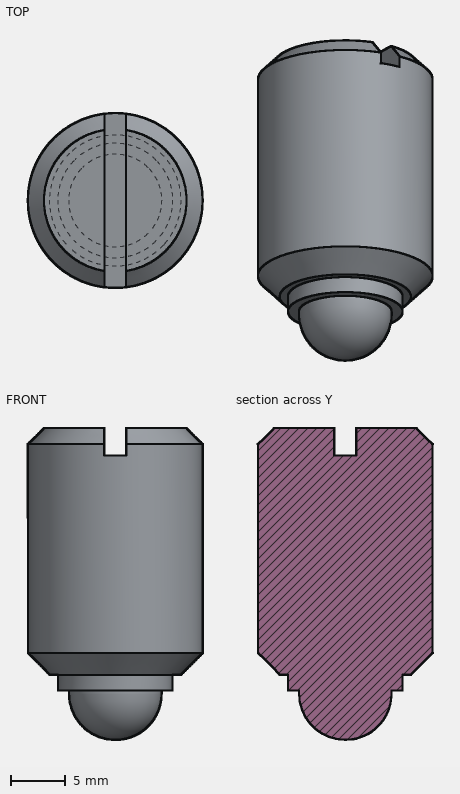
import cadquery as cq
import math

total_height = 28.5
body_diameter = 16.0
collar_diameter = 10.5
ball_diameter = 8.5

collar_bottom = 4.5
body_bottom = 5.95
top_chamfer = 1.48
bottom_chamfer = 2.0

slot_width = 2.0
slot_depth = 2.5

body_radius = body_diameter / 2
collar_radius = collar_diameter / 2
ball_radius = ball_diameter / 2


def turned_profile():
    """Half section of the plunger: ball tip, collar and chamfered body."""
    arc_mid = (ball_radius * math.sin(math.pi / 4), ball_radius * (1 - math.cos(math.pi / 4)))
    return (
        cq.Workplane("XZ")
        .moveTo(0, 0)
        .threePointArc(arc_mid, (ball_radius, ball_radius))
        .lineTo(ball_radius, collar_bottom)
        .lineTo(collar_radius, collar_bottom)
        .lineTo(collar_radius, body_bottom)
        .lineTo(body_radius - bottom_chamfer, body_bottom)
        .lineTo(body_radius, body_bottom + bottom_chamfer)
        .lineTo(body_radius, total_height - top_chamfer)
        .lineTo(body_radius - top_chamfer, total_height)
        .lineTo(0, total_height)
        .close()
    )


def slot_cutter():
    """Block that cuts the slot through the full body diameter."""
    return (
        cq.Workplane("XY")
        .workplane(offset=total_height - slot_depth)
        .rect(slot_width, 2 * body_diameter)
        .extrude(2 * slot_depth)
    )


plunger = turned_profile().revolve(360, (0, 0, 0), (0, 1, 0))
result = plunger.cut(slot_cutter())